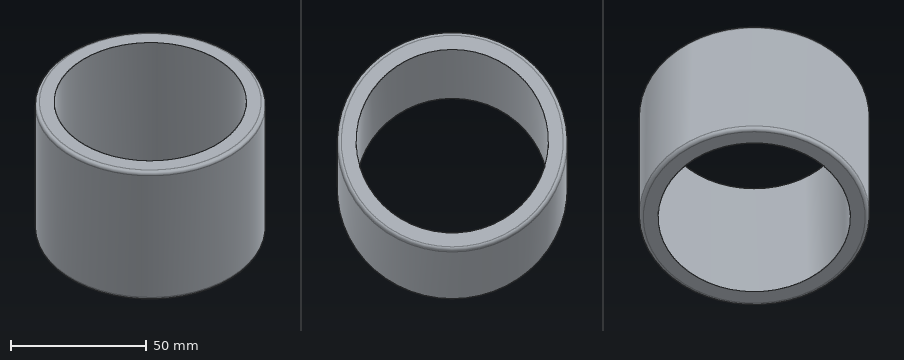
import cadquery as cq

outer_diameter = 85.0
bore_diameter = 71.0
length = 60.0
edge_radius = 1.5

body = cq.Workplane("XY").circle(outer_diameter / 2).extrude(length)
body = body.edges("%CIRCLE").fillet(edge_radius)

result = body.faces(">Z").workplane().hole(bore_diameter)